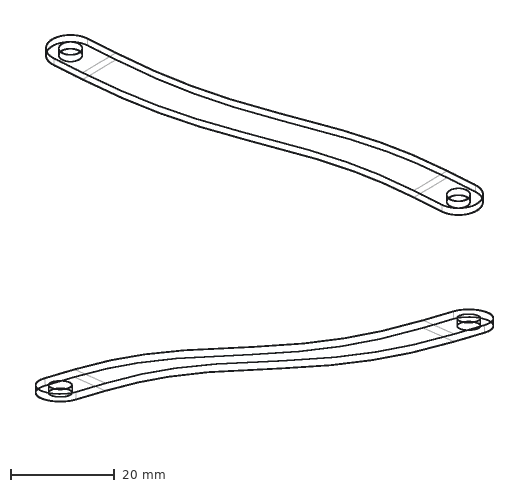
import cadquery as cq

length = 111.12
width = 9.53
height = 12.71
thickness = 1.59
tab_length = 12.2
hole_diameter = 4.52
low_handle_reach = 37.0
high_handle_reach = 31.0

end_radius = width / 2
half_length = length / 2
hole_x = half_length - end_radius
bend_x = half_length - tab_length
rise = height - thickness


def curve_points(z_offset):
    """Control points of the S-curve, level with the tabs at both ends."""
    return [
        (-bend_x, z_offset),
        (-bend_x + low_handle_reach, z_offset),
        (bend_x - high_handle_reach, rise + z_offset),
        (bend_x, rise + z_offset),
    ]


def make_strip():
    """S-shaped side profile, extruded across the full width toward -Y."""
    return (
        cq.Workplane("XZ", origin=(0, width / 2, 0))
        .moveTo(-half_length, 0)
        .lineTo(-bend_x, 0)
        .bezier(curve_points(0))
        .lineTo(half_length, rise)
        .lineTo(half_length, height)
        .lineTo(bend_x, height)
        .bezier(curve_points(thickness)[::-1])
        .lineTo(-half_length, thickness)
        .close()
        .extrude(width)
    )


def make_outline():
    """Upright block with the plan shape of the strip: round at both ends."""
    return cq.Workplane("XY").slot2D(length, width).extrude(height)


def make_holes():
    """One upright hole cutter concentric with each round end."""
    return (
        cq.Workplane("XY")
        .pushPoints([(-hole_x, 0), (hole_x, 0)])
        .circle(hole_diameter / 2)
        .extrude(height)
    )


result = make_strip().intersect(make_outline()).cut(make_holes())